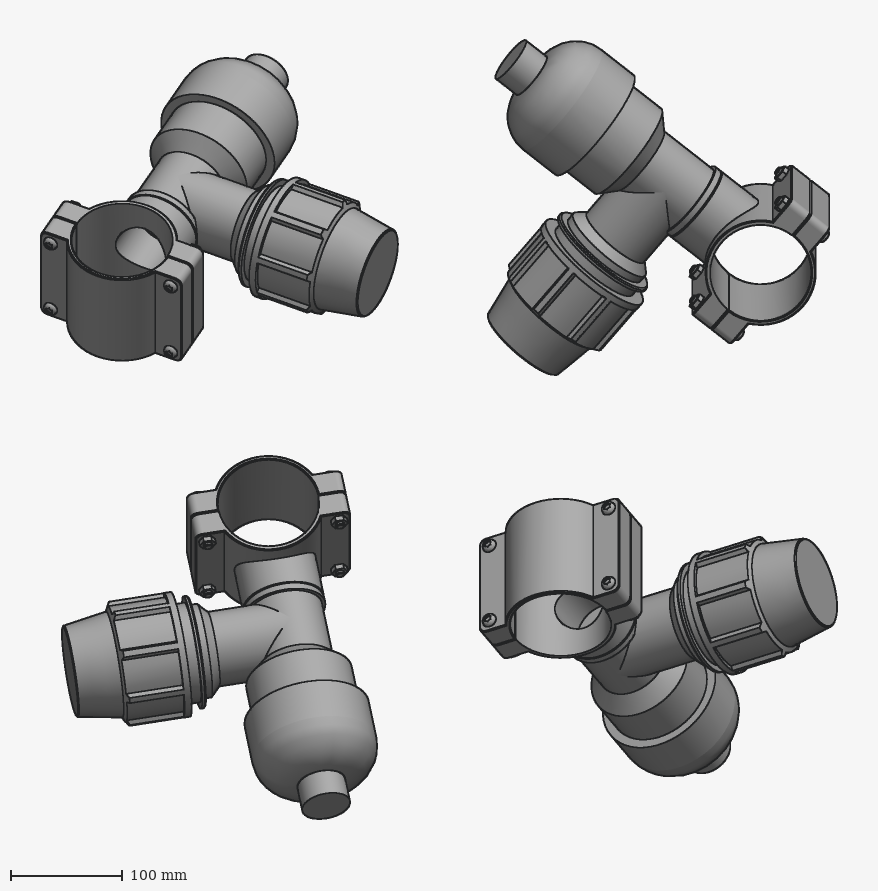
import cadquery as cq
import math


bore_radius = 90.5 / 2
clamp_radius = 49.5
clamp_height = 105.2
flange_length = 140.7
flange_thickness = 22.3
flange_corner = 6.8
edge_break = 1.0

bolt_x = 60.0
bolt_z = 42.0
head_diameter = 13.0
head_height = 4.5
head_round = 3.7
socket_flats = 6.0
socket_depth = 2.0
nut_flats = 13.0
nut_height = 4.7
thread_diameter = 8.0
thread_tip = 3.0
thread_chamfer = 0.85

pipe_radius = 34.0
outlet_radius = 73.8 / 2
outlet_top = 82.2
groove_y = 75.5
groove_size = 0.7
neck_radius = 96.5 / 2
cap_radius = 113.5 / 2
nozzle_radius = 43.5 / 2
cone_start = 139.0
cone_end = 153.3
cap_bottom = 191.8
dome_bottom = 229.7
dome_top = 265.0
riser_top = 289.0
outlet_hole_diameter = 50.5

branch_y = 110.3
shoulder_start = 70.0
shoulder_end = 78.5
shoulder_radius = 85.0 / 2
ring_start = 85.5
ring_end = 89.3
ring_radius = 102.0 / 2
ring_chamfer = 1.5
throat_radius = 90.5 / 2
collar_start = 99.8
collar_end = 106.2
collar_radius = 113.0 / 2
grip_radius = 52.5
grip_shoulder = 157.5
nose_start = 160.0
nose_root_radius = 48.0
nose_end = 200.3
nose_radius = 41.3
nose_chamfer = 1.0
rib_count = 8
rib_top_width = 5.8
rib_foot_width = 9.5


def clamp_cylinder(radius):
    """Solid cylinder on the clamp axis, as tall as the clamp."""
    base = cq.Workplane("XY", origin=(0, 0, -clamp_height / 2))
    return base.circle(radius).extrude(clamp_height)


def clamp_half(side):
    """Half of the clamp body on the given side (+1 or -1) of the split plane."""
    barrel = clamp_cylinder(clamp_radius)
    flanges = (
        cq.Workplane("XY")
        .box(flange_length, 2 * flange_thickness, clamp_height)
        .edges("|Y")
        .fillet(flange_corner)
    )
    keep = cq.Workplane("XY").box(flange_length, flange_length, clamp_height)
    keep = keep.translate((0, side * flange_length / 2, 0))
    return barrel.union(flanges).intersect(keep)


def break_edges(half):
    """Chamfer a clamp half, leaving edges along Y and the inner corners of barrel and flange."""

    def is_barrel_corner(edge):
        centre = edge.Center()
        on_flange_face = math.isclose(abs(centre.y), flange_thickness, abs_tol=edge_break / 10)
        return on_flange_face and abs(centre.x) < clamp_radius

    return half.edges("not |Y").filter(lambda edge: not is_barrel_corner(edge)).chamfer(edge_break)


def bolt():
    """Bolt along Y with a socket head in front and a hexagon nut behind.

    The socket has corners along Z, the nut has corners along X.
    """
    nut_corners = nut_flats / math.cos(math.pi / 6)
    socket_corners = socket_flats / math.cos(math.pi / 6)
    front = cq.Workplane("XZ", origin=(0, -flange_thickness, 0))
    head = front.circle(head_diameter / 2).extrude(head_height)
    head = head.faces("<Y").edges().fillet(head_round)
    socket = (
        front.workplane(offset=head_height - socket_depth)
        .transformed(rotate=(0, 0, 90))
        .polygon(6, socket_corners)
        .extrude(socket_depth)
    )
    back = cq.Workplane("XZ", origin=(0, flange_thickness, 0))
    nut = back.polygon(6, nut_corners).extrude(-nut_height)
    thread = back.circle(thread_diameter / 2).extrude(-nut_height - thread_tip)
    thread = thread.faces(">Y").edges().chamfer(thread_chamfer)
    return head.cut(socket).union(nut).union(thread)


def riser():
    """Stack turned about Y: outlet, pipe, cone, neck, domed cap and nozzle."""
    dome_round = dome_top - dome_bottom
    crown_radius = cap_radius - dome_round
    diagonal = dome_round * math.sqrt(0.5)
    profile = (
        cq.Workplane("XY")
        .lineTo(outlet_radius, 0)
        .lineTo(outlet_radius, groove_y - groove_size)
        .lineTo(outlet_radius - groove_size, groove_y)
        .lineTo(outlet_radius, groove_y + groove_size)
        .lineTo(outlet_radius, outlet_top)
        .lineTo(pipe_radius, outlet_top)
        .lineTo(pipe_radius, cone_start)
        .lineTo(neck_radius, cone_end)
        .lineTo(neck_radius, cap_bottom)
        .lineTo(cap_radius, cap_bottom)
        .lineTo(cap_radius, dome_bottom)
        .threePointArc(
            (crown_radius + diagonal, dome_bottom + diagonal),
            (crown_radius, dome_top),
        )
        .lineTo(nozzle_radius, dome_top)
        .lineTo(nozzle_radius, riser_top)
        .lineTo(0, riser_top)
        .close()
    )
    return profile.revolve(360, (0, 0, 0), (0, 1, 0))


def branch():
    """Coupling turned about the branch axis, with its grip ribs."""
    profile = (
        cq.Workplane("XY", origin=(0, branch_y, 0))
        .lineTo(0, pipe_radius)
        .lineTo(shoulder_start, pipe_radius)
        .lineTo(shoulder_end, shoulder_radius)
        .lineTo(ring_start, shoulder_radius)
        .lineTo(ring_start, ring_radius - ring_chamfer)
        .lineTo(ring_start + ring_chamfer, ring_radius)
        .lineTo(ring_end, ring_radius)
        .lineTo(ring_end, throat_radius)
        .lineTo(collar_start, throat_radius)
        .lineTo(collar_start, collar_radius)
        .lineTo(collar_end, collar_radius)
        .lineTo(collar_end, grip_radius)
        .lineTo(grip_shoulder, grip_radius)
        .lineTo(nose_start, nose_root_radius)
        .lineTo(nose_end, nose_radius)
        .lineTo(nose_end, 0)
        .close()
    )
    body = profile.revolve(360, (0, 0, 0), (1, 0, 0))
    return body.faces(">X").edges().chamfer(nose_chamfer).union(grip_ribs())


def grip_ribs():
    """Flared ribs around the grip, flush with the collar, sharing its end taper."""
    taper_slope = (nose_start - grip_shoulder) / (grip_radius - nose_root_radius)
    rib_shoulder = grip_shoulder - taper_slope * (collar_radius - grip_radius)
    envelope = (
        cq.Workplane("XY", origin=(0, branch_y, 0))
        .moveTo(collar_start, 0)
        .lineTo(collar_start, collar_radius)
        .lineTo(rib_shoulder, collar_radius)
        .lineTo(nose_start, nose_root_radius)
        .lineTo(nose_start, 0)
        .close()
        .revolve(360, (0, 0, 0), (1, 0, 0))
    )
    flare = (rib_foot_width - rib_top_width) / 2 / (collar_radius - grip_radius)
    foot_half = rib_foot_width / 2 + flare * (grip_radius - nose_root_radius)
    top_half = rib_top_width / 2
    bar = (
        cq.Workplane("YZ", origin=(collar_start, 0, 0))
        .moveTo(nose_root_radius, -foot_half)
        .lineTo(collar_radius, -top_half)
        .lineTo(collar_radius, top_half)
        .lineTo(nose_root_radius, foot_half)
        .close()
        .extrude(nose_start - collar_start)
    )
    pitch = 360 / rib_count
    bars = cq.Workplane("XY")
    for index in range(rib_count):
        bars = bars.union(bar.rotate((0, 0, 0), (1, 0, 0), (index + 0.5) * pitch))
    return bars.translate((0, branch_y, 0)).intersect(envelope)


bore = clamp_cylinder(bore_radius)
outlet_hole = cq.Workplane("XZ").circle(outlet_hole_diameter / 2).extrude(-outlet_top)

rear_half = break_edges(clamp_half(1)).union(riser()).union(branch()).cut(bore).cut(outlet_hole)
front_half = break_edges(clamp_half(-1).cut(bore))
result = rear_half.union(front_half)
for x in (-bolt_x, bolt_x):
    for z in (-bolt_z, bolt_z):
        result = result.union(bolt().translate((x, 0, z)))